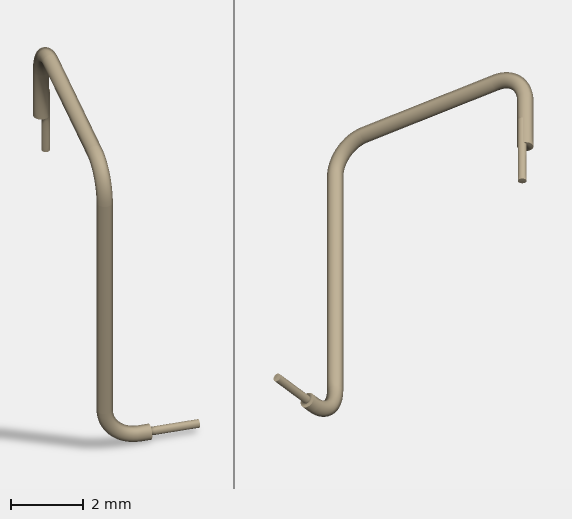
import cadquery as cq

wire_diameter = 0.45
bend_radius = 1.0
span_x = 6.5
long_leg_height = 9.0
short_leg_drop = 2.49
foot_reach = 1.30
overall_depth = 2.92
quarter_turn = 90

pin_diameter = 0.24
short_leg_pin_length = 2.0
short_leg_pin_projection = 1.19
pin_offset_x = 0.01
short_leg_pin_offset_y = 0.13
foot_pin_offset_z = 0.02
foot_pin_projection = overall_depth - wire_diameter / 2 - foot_reach

short_leg_end_z = long_leg_height - short_leg_drop

up = (0, 0, 1)
down = (0, 0, -1)
right = (1, 0, 0)
back = (0, 1, 0)


def straight(start, direction, length, diameter):
    """Round rod of the given length that runs from start along direction."""
    section = cq.Workplane(cq.Plane(origin=start, normal=direction)).circle(diameter / 2)
    return section.extrude(length)


def bend(start, direction, turn_direction):
    """Quarter-turn elbow from direction into turn_direction."""
    plane = cq.Plane(origin=start, xDir=turn_direction, normal=direction)
    axis_start = (bend_radius, 0)
    axis_end = (bend_radius, 1)
    return cq.Workplane(plane).circle(wire_diameter / 2).revolve(quarter_turn, axis_start, axis_end)


def make_wire():
    """Short leg, crossbar, long leg and foot, joined by three elbows."""
    short_leg_end = (0, 0, short_leg_end_z)
    short_leg_top = (0, 0, long_leg_height - bend_radius)
    bar_start = (bend_radius, 0, long_leg_height)
    bar_end = (span_x - bend_radius, 0, long_leg_height)
    long_leg_top = (span_x, 0, long_leg_height - bend_radius)
    long_leg_bottom = (span_x, 0, bend_radius)
    foot_start = (span_x, bend_radius, 0)

    wire = straight(short_leg_end, up, short_leg_drop - bend_radius, wire_diameter)
    wire = wire.union(bend(short_leg_top, up, right))
    wire = wire.union(straight(bar_start, right, span_x - 2 * bend_radius, wire_diameter))
    wire = wire.union(bend(bar_end, right, down))
    wire = wire.union(straight(long_leg_top, down, long_leg_height - 2 * bend_radius, wire_diameter))
    wire = wire.union(bend(long_leg_bottom, down, back))
    return wire.union(straight(foot_start, back, foot_reach - bend_radius, wire_diameter))


def make_short_leg_pin():
    """Pin let into the back of the short leg and projecting below it."""
    tip = (pin_offset_x, short_leg_pin_offset_y, short_leg_end_z - short_leg_pin_projection)
    return straight(tip, up, short_leg_pin_length, pin_diameter)


def make_foot_pin():
    """Pin projecting from the end of the foot."""
    base = (span_x + pin_offset_x, foot_reach, foot_pin_offset_z)
    return straight(base, back, foot_pin_projection, pin_diameter)


result = make_wire().union(make_short_leg_pin()).union(make_foot_pin())